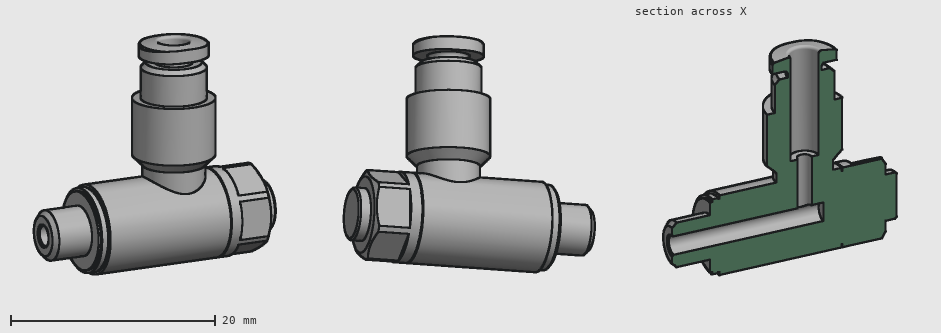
import cadquery as cq
import math


body_dia = 8.9
core_dia = 8.2
groove_width = 0.1
body_back_y = 4.0
body_front_y = -9.25
collar_front_y = body_back_y + groove_width
collar_back_y = 5.25

hex_sides = 6
hex_across_flats = 8.0
hex_back_y = 8.8
hex_face_dia = 7.5
hex_bevel_angle = 30.0

knob_dia = 5.2
knob_end_y = 10.0
knob_chamfer = 0.2

ring_dia = 8.4
ring_back_y = body_front_y - groove_width
ring_front_y = -10.05
seat_dia = 7.8
seat_front_y = -10.3
thread_dia = 5.0
thread_end_y = -14.4
thread_chamfer = 0.5

stem_dia = 6.2
socket_dia = 8.2
stem_top_z = 5.45
socket_bottom_z = stem_top_z + (socket_dia - stem_dia) / 2
socket_top_z = 12.2
guide_dia = 6.5
guide_top_z = 15.8
guide_chamfer = 0.5

neck_dia = 3.7
neck_flare_radius = 0.5
neck_flare_dia = 4.2
button_bottom_z = 16.5
button_top_z = 18.0
button_length = 7.0
button_width = 6.0
button_edge_z = 17.77
button_chamfer = 0.18

inlet_dia = 2.0
inlet_chamfer = 0.15
inlet_end_y = 2.0
branch_hole_dia = 1.5
tube_bore_dia = 3.0
tube_bore_floor_z = socket_bottom_z
tube_rim_radius = 0.3


def y_cylinder(diameter, start_y, end_y):
    """Cylinder on the main axis between two Y stations."""
    plane = cq.Workplane("XZ", origin=(0, start_y, 0))
    return plane.circle(diameter / 2).extrude(start_y - end_y)


def z_cylinder(diameter, bottom_z, top_z):
    """Cylinder on the branch axis between two Z stations."""
    return cq.Workplane("XY", origin=(0, 0, bottom_z)).circle(diameter / 2).extrude(top_z - bottom_z)


def make_hexagon():
    """Hexagon with flats facing +X and -X, corners turned to the body diameter, back face bevelled."""
    half_side_angle = 180 / hex_sides
    across_corners = hex_across_flats / math.cos(math.radians(half_side_angle))
    prism = (
        cq.Workplane("XZ", origin=(0, collar_back_y, 0))
        .transformed(rotate=(0, 0, half_side_angle))
        .polygon(hex_sides, across_corners)
        .extrude(collar_back_y - hex_back_y)
    )
    bevel_length = (body_dia - hex_face_dia) / 2 * math.tan(math.radians(hex_bevel_angle))
    turned_blank = (
        cq.Workplane("XY")
        .moveTo(0, collar_back_y)
        .lineTo(body_dia / 2, collar_back_y)
        .lineTo(body_dia / 2, hex_back_y - bevel_length)
        .lineTo(hex_face_dia / 2, hex_back_y)
        .lineTo(0, hex_back_y)
        .close()
        .revolve(360, (0, 0, 0), (0, 1, 0))
    )
    return prism.intersect(turned_blank)


def make_main_body():
    core = y_cylinder(core_dia, ring_front_y, collar_back_y)
    barrel = y_cylinder(body_dia, body_front_y, body_back_y)
    collar = y_cylinder(body_dia, collar_front_y, collar_back_y)
    knob = y_cylinder(knob_dia, hex_back_y, knob_end_y).faces(">Y").chamfer(knob_chamfer)
    ring = y_cylinder(ring_dia, ring_front_y, ring_back_y)
    seat = y_cylinder(seat_dia, seat_front_y, ring_front_y)
    thread = y_cylinder(thread_dia, thread_end_y, seat_front_y).faces("<Y").chamfer(thread_chamfer)
    body = core
    for section in (barrel, collar, make_hexagon(), knob, ring, seat, thread):
        body = body.union(section)
    return body


def make_branch():
    """Stem, tapered socket and chamfered guide sleeve, turned about Z."""
    stem_radius = stem_dia / 2
    socket_radius = socket_dia / 2
    guide_radius = guide_dia / 2
    return (
        cq.Workplane("XZ")
        .lineTo(stem_radius, 0)
        .lineTo(stem_radius, stem_top_z)
        .lineTo(socket_radius, socket_bottom_z)
        .lineTo(socket_radius, socket_top_z)
        .lineTo(guide_radius, socket_top_z)
        .lineTo(guide_radius, guide_top_z - guide_chamfer)
        .lineTo(guide_radius - guide_chamfer, guide_top_z)
        .lineTo(0, guide_top_z)
        .close()
        .revolve(360, (0, 0, 0), (0, 1, 0))
    )


def make_neck():
    """Button neck with a concave flare that meets the underside of the button."""
    neck_radius = neck_dia / 2
    flare_step = (neck_flare_dia - neck_dia) / 2
    flare_angle = math.acos(1 - flare_step / neck_flare_radius)
    flare_height = neck_flare_radius * math.sin(flare_angle)
    flare_start_z = button_bottom_z - flare_height
    flare_mid = (
        neck_radius + neck_flare_radius * (1 - math.cos(flare_angle / 2)),
        flare_start_z + neck_flare_radius * math.sin(flare_angle / 2),
    )
    return (
        cq.Workplane("XZ")
        .moveTo(0, guide_top_z)
        .lineTo(neck_radius, guide_top_z)
        .lineTo(neck_radius, flare_start_z)
        .threePointArc(flare_mid, (neck_flare_dia / 2, button_bottom_z))
        .lineTo(0, button_bottom_z)
        .close()
        .revolve(360, (0, 0, 0), (0, 1, 0))
    )


def make_button():
    """Slot-shaped button whose top is turned to a shallow cone from the tube rim and a chamfered edge."""
    rim_radius = tube_bore_dia / 2 + tube_rim_radius
    outer_radius = button_length / 2
    slot = (
        cq.Workplane("XY", origin=(0, 0, button_bottom_z))
        .slot2D(button_length, button_width, 90)
        .extrude(button_top_z - button_bottom_z)
    )
    turned_blank = (
        cq.Workplane("XZ")
        .moveTo(0, button_bottom_z)
        .lineTo(outer_radius, button_bottom_z)
        .lineTo(outer_radius, button_edge_z - button_chamfer)
        .lineTo(outer_radius - button_chamfer, button_edge_z)
        .lineTo(rim_radius, button_top_z)
        .lineTo(0, button_top_z)
        .close()
        .revolve(360, (0, 0, 0), (0, 1, 0))
    )
    return slot.intersect(turned_blank)


def make_inlet():
    """Blind passage from the thread end, chamfered at its mouth."""
    bore_radius = inlet_dia / 2
    return (
        cq.Workplane("XY")
        .moveTo(0, thread_end_y)
        .lineTo(bore_radius + inlet_chamfer, thread_end_y)
        .lineTo(bore_radius, thread_end_y + inlet_chamfer)
        .lineTo(bore_radius, inlet_end_y)
        .lineTo(0, inlet_end_y)
        .close()
        .revolve(360, (0, 0, 0), (0, 1, 0))
    )


def make_tube_bore():
    """Tube bore with a rounded mouth, open through the top of the button."""
    bore_radius = tube_bore_dia / 2
    rim_radius = bore_radius + tube_rim_radius
    rim_mid_offset = tube_rim_radius * math.sqrt(0.5)
    rim_mid = (rim_radius - rim_mid_offset, button_top_z - tube_rim_radius + rim_mid_offset)
    above_button_z = button_top_z + 1
    return (
        cq.Workplane("XZ")
        .moveTo(0, tube_bore_floor_z)
        .lineTo(bore_radius, tube_bore_floor_z)
        .lineTo(bore_radius, button_top_z - tube_rim_radius)
        .threePointArc(rim_mid, (rim_radius, button_top_z))
        .lineTo(rim_radius, above_button_z)
        .lineTo(0, above_button_z)
        .close()
        .revolve(360, (0, 0, 0), (0, 1, 0))
    )


solid = make_main_body().union(make_branch()).union(make_neck()).union(make_button())
branch_hole = z_cylinder(branch_hole_dia, 0, tube_bore_floor_z)
result = solid.cut(make_inlet()).cut(make_tube_bore()).cut(branch_hole)